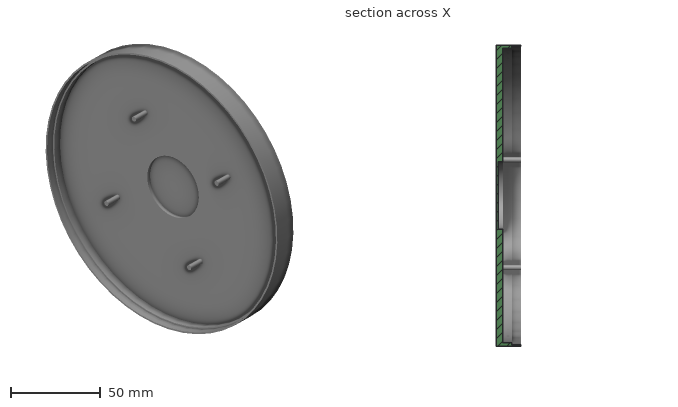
import cadquery as cq

outer_radius = 84.0
total_depth = 14.0

lip_width = 1.0
step_width = 1.0
step_depth = 5.0
recess_depth = 10.0

pocket_radius = 18.6
pocket_depth = 2.4

pin_count = 4
pin_radius = 1.5
pin_length = recess_depth
pin_x = 40.0
pin_z = 20.0

front_y = -total_depth / 2
floor_y = front_y + recess_depth


def cylinder(radius, start_y, length, x=0, z=0):
    """Cylinder along +Y starting at start_y, with its axis at (x, z)."""
    return cq.Workplane(cq.Solid.makeCylinder(
        radius, length, cq.Vector(x, start_y, z), cq.Vector(0, 1, 0)))


mouth_radius = outer_radius - lip_width
recess_radius = mouth_radius - step_width

result = cylinder(outer_radius, front_y, total_depth)
result = result.cut(cylinder(mouth_radius, front_y, step_depth))
result = result.cut(cylinder(recess_radius, front_y, recess_depth))
result = result.cut(cylinder(pocket_radius, floor_y, pocket_depth))

x, z = pin_x, pin_z
for _ in range(pin_count):
    result = result.union(cylinder(pin_radius, floor_y - pin_length, pin_length, x, z))
    x, z = -z, x